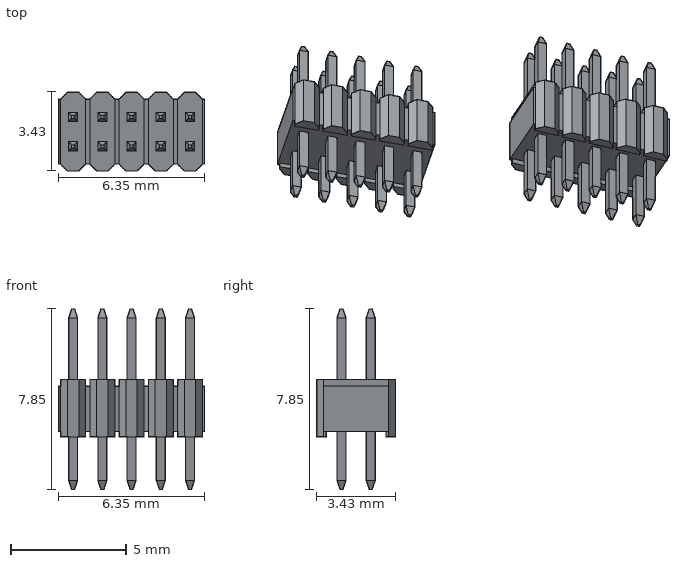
import cadquery as cq

pitch = 1.27
columns = 5
rows = 2

block_height = 2.5
block_depth = 3.43
block_gap = 0.18
block_width = pitch - block_gap
corner_chamfer = 0.3

web_length = columns * pitch
web_depth = block_depth - 2 * corner_chamfer
web_top_recess = 0.3
web_bottom_recess = 0.23
web_height = block_height - web_top_recess - web_bottom_recess

foot_depth = 0.42
channel_depth = block_depth - 2 * foot_depth

pin_side = 0.4
pin_above = 3.06
pin_below = 2.29
tip_length = 0.4
tip_side = 0.13


def centered_positions(count):
    """Positions of `count` items at the pitch, centred on zero."""
    return [(i - (count - 1) / 2) * pitch for i in range(count)]


column_positions = centered_positions(columns)
row_positions = centered_positions(rows)


def box_on(z_bottom, length, depth, height):
    """Box centred in X and Y that rises from z_bottom."""
    return cq.Workplane("XY").box(length, depth, height, centered=(True, True, False)).translate(
        (0, 0, z_bottom)
    )


def make_insulator():
    """Blocks joined by the web, with the bottom at Z = 0."""
    block = box_on(0, block_width, block_depth, block_height).edges("|Z").chamfer(corner_chamfer)
    body = box_on(web_bottom_recess, web_length, web_depth, web_height)
    for x in column_positions:
        body = body.union(block.translate((x, 0, 0)))
    return body.cut(box_on(0, web_length, channel_depth, web_bottom_recess))


def make_tip(z_base, direction):
    """Tapered pin end starting at z_base and pointing up (+1) or down (-1)."""
    return (
        cq.Workplane("XY", origin=(0, 0, z_base))
        .rect(pin_side, pin_side)
        .workplane(offset=direction * tip_length)
        .rect(tip_side, tip_side)
        .loft(ruled=True)
    )


def make_pin():
    """Square pin through the insulator, tapered at both ends."""
    shank_bottom = tip_length - pin_below
    shank_top = block_height + pin_above - tip_length
    shank = box_on(shank_bottom, pin_side, pin_side, shank_top - shank_bottom)
    return shank.union(make_tip(shank_top, 1)).union(make_tip(shank_bottom, -1))


result = make_insulator()
pin = make_pin()
for x in column_positions:
    for y in row_positions:
        result = result.union(pin.translate((x, y, 0)))